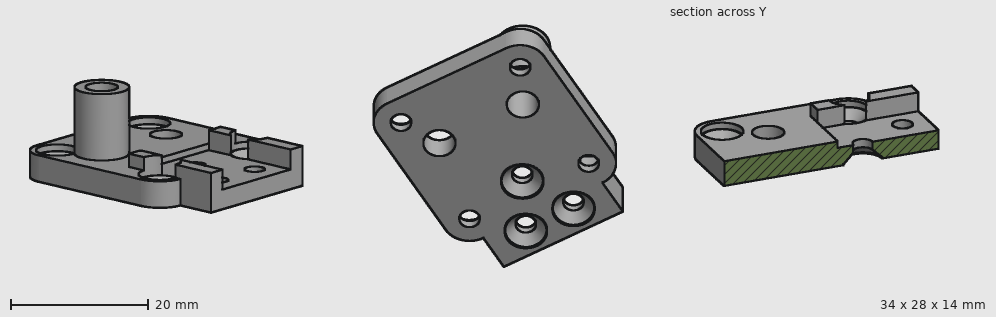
import cadquery as cq

plate_size = 28.0
plate_thickness = 4.0
corner_radius = 4.0

screw_offset = plate_size / 2 - corner_radius
screw_hole_diameter = 3.0
head_diameter = 6.2
plate_recess_depth = 1.0
cone_top_diameter = 6.0
cone_depth = (cone_top_diameter - screw_hole_diameter) / 2
head_clearance = 6.0

tongue_start_x = 4.0
tongue_end_x = 20.0
tongue_length = tongue_end_x - tongue_start_x
tongue_side_y = screw_offset
front_rail_width = 2.5
rear_rail_width = 2.6
channel_floor_z = 3.0
rail_top_z = 6.0
tongue_recess_depth = 0.2
tongue_hole_points = [(8.0, 0.0), (16.0, 4.0), (16.0, -4.0)]

post_x = -4.0
post_y = -7.0
post_diameter = 8.0
post_top_z = 14.0
bore_diameter = 4.7


def make_plate():
    plate = cq.Workplane("XY").rect(plate_size, plate_size).extrude(plate_thickness)
    return plate.edges("|Z").fillet(corner_radius)


def tongue_block(start_y, end_y, bottom_z, top_z):
    """Block over the full length of the tongue."""
    size_y = end_y - start_y
    size_z = top_z - bottom_z
    block = cq.Workplane("XY").box(tongue_length, size_y, size_z, centered=False)
    return block.translate((tongue_start_x, start_y, bottom_z))


def round_cutter(diameter, points):
    """Vertical cylinders that reach from the underside to the top of the post."""
    return cq.Workplane("XY").pushPoints(points).circle(diameter / 2).extrude(post_top_z)


def screw_cutter(recess_depth):
    """Recess, cone and shank hole on the Z axis, sunk from Z = 0, with head clearance above."""
    return (
        cq.Workplane("XZ")
        .moveTo(0, head_clearance)
        .lineTo(head_diameter / 2, head_clearance)
        .lineTo(head_diameter / 2, -recess_depth)
        .lineTo(cone_top_diameter / 2, -recess_depth)
        .lineTo(screw_hole_diameter / 2, -recess_depth - cone_depth)
        .lineTo(screw_hole_diameter / 2, -plate_thickness)
        .lineTo(0, -plate_thickness)
        .close()
        .revolve(360, (0, 0, 0), (0, 1, 0))
    )


body = make_plate().union(tongue_block(-tongue_side_y, tongue_side_y, 0, rail_top_z))
channel = tongue_block(
    front_rail_width - tongue_side_y,
    tongue_side_y - rear_rail_width,
    channel_floor_z,
    rail_top_z,
)
body = body.cut(channel)

tongue_screw = screw_cutter(tongue_recess_depth).rotate((0, 0, 0), (1, 0, 0), 180)
for hole_x, hole_y in tongue_hole_points:
    body = body.cut(tongue_screw.translate((hole_x, hole_y, 0)))

plate_screw = screw_cutter(plate_recess_depth)
for hole_x in (-screw_offset, screw_offset):
    for hole_y in (-screw_offset, screw_offset):
        body = body.cut(plate_screw.translate((hole_x, hole_y, plate_thickness)))

post = (
    cq.Workplane("XY", origin=(post_x, post_y, plate_thickness))
    .circle(post_diameter / 2)
    .extrude(post_top_z - plate_thickness)
)
body = body.union(post)
result = body.cut(round_cutter(bore_diameter, [(post_x, post_y), (post_x, -post_y)]))